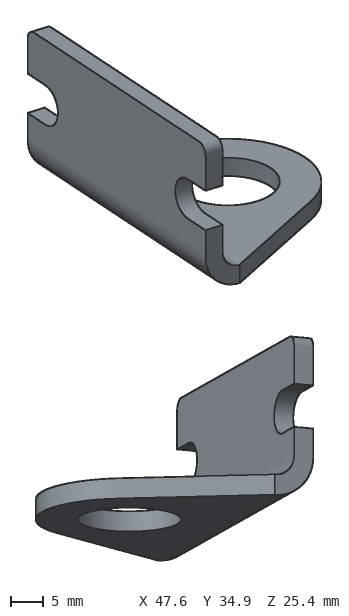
import cadquery as cq
import math

width = 47.625
height = 25.4
thickness = 3.175
inner_bend_radius = 3.175
eye_diameter = 15.875
eye_radius = 14.2875
eye_offset = 20.6375
corner_radius = 1.75
slot_width = 6.75
slot_depth = 8.1
slot_height = 14.2875

half_width = width / 2
outer_bend_radius = inner_bend_radius + thickness
depth = eye_offset + eye_radius


def bent_sheet():
    """L-shaped sheet with a rounded bend, front face on the plane Y = 0."""
    outer_diagonal = outer_bend_radius * (1 - math.sqrt(0.5))
    inner_diagonal = outer_bend_radius - inner_bend_radius * math.sqrt(0.5)
    return (
        cq.Workplane("YZ", origin=(-half_width, 0, 0))
        .moveTo(0, height)
        .lineTo(0, outer_bend_radius)
        .threePointArc((outer_diagonal, outer_diagonal), (outer_bend_radius, 0))
        .lineTo(depth, 0)
        .lineTo(depth, thickness)
        .lineTo(outer_bend_radius, thickness)
        .threePointArc((inner_diagonal, inner_diagonal), (thickness, outer_bend_radius))
        .lineTo(thickness, height)
        .close()
        .extrude(width)
    )


def plan_outline():
    """Prism of the plan shape: sides taper from the bend tangent to the rounded end."""
    rise = eye_offset - outer_bend_radius
    centre_distance = math.hypot(half_width, rise)
    tangent_angle = math.acos(eye_radius / centre_distance) - math.atan2(rise, half_width)
    tangent_x = eye_radius * math.cos(tangent_angle)
    tangent_y = eye_offset + eye_radius * math.sin(tangent_angle)
    return (
        cq.Workplane("XY")
        .moveTo(-half_width, 0)
        .lineTo(half_width, 0)
        .lineTo(half_width, outer_bend_radius)
        .lineTo(tangent_x, tangent_y)
        .threePointArc((0, depth), (-tangent_x, tangent_y))
        .lineTo(-half_width, outer_bend_radius)
        .close()
        .extrude(height)
    )


def eye_hole():
    """Cylinder that pierces the base plate."""
    return cq.Workplane("XY").center(0, eye_offset).circle(eye_diameter / 2).extrude(thickness)


def side_slot(side):
    """Round-bottomed slot open at the side edge; side is -1 or +1 along X."""
    return (
        cq.Workplane("XZ")
        .center(side * half_width, slot_height)
        .slot2D(2 * slot_depth, slot_width)
        .extrude(-thickness)
    )


bracket = bent_sheet().intersect(plan_outline())
bracket = bracket.edges("|Y and >Z").edges("<X or >X").fillet(corner_radius)
bracket = bracket.cut(eye_hole())
for side in (-1, 1):
    bracket = bracket.cut(side_slot(side))

result = bracket